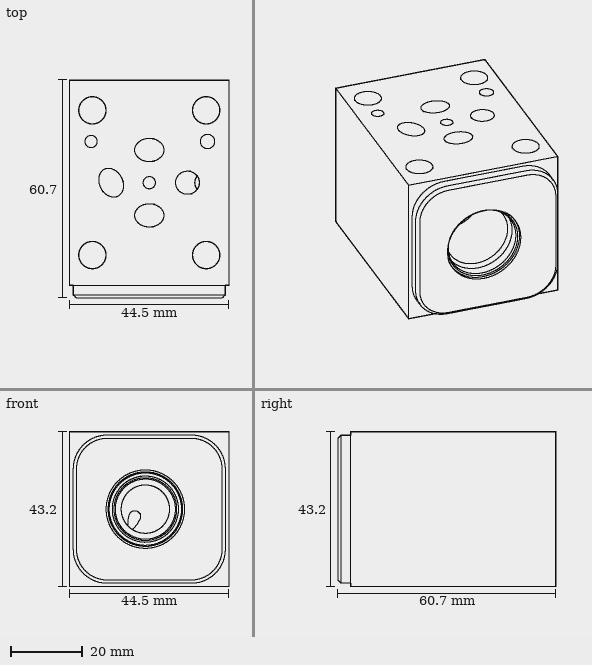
import cadquery as cq
import math


BLOCK_X = 44.45
BLOCK_Z = 43.2
TOTAL_Y = 60.7
PLATE_THICKNESS = 3.6
BLOCK_Y = TOTAL_Y - PLATE_THICKNESS
PLATE_X = 42.4
PLATE_Z = 41.3
PLATE_CORNER_RADIUS = 9.5
PLATE_CHAMFER = 0.9

TOP = BLOCK_Z / 2
FRONT = -BLOCK_Y / 2
PLATE_FRONT = FRONT - PLATE_THICKNESS

CAVITY_X = -1.1
SPOTFACE_RADIUS = 10.95
SPOTFACE_DEPTH = 1.0
LEAD_IN_RADIUS = 10.4
LEAD_IN_LENGTH = 0.65
THREAD_RADIUS = 10.1
THREAD_LENGTH = 3.0
SEAT_CONE_LENGTH = 1.2
SEAT_RADIUS = 9.25
SEAT_END_DEPTH = 26.7
NOSE_RADIUS = 8.75
NOSE_CHAMFER = 0.35
NOSE_END_DEPTH = 27.95
PILOT_RADIUS = 6.75
PILOT_END_DEPTH = 34.85

BOLT_RADIUS = 3.75
BOLT_OFFSET_X = 15.85
BOLT_OFFSET_Y = 20.15
BLIND_DEPTH = 7.3
PIN_OFFSET_X = 16.2
PIN_OFFSET_Y = 11.5
LEFT_PIN_RADIUS = 1.7
RIGHT_PIN_RADIUS = 2.0
CENTER_HOLE_RADIUS = 1.7

PASSAGE_RADIUS = 3.2
SIDE_PASSAGE_OFFSET_X = 10.6
END_PASSAGE_OFFSET_Y = 9.1
END_PASSAGE_TILT = 38.0
SIDE_PASSAGE_TILT = 14.1
UPPER_CAVITY_TILT = 40.0
LOWER_CAVITY_TILT = 25
UPPER_CAVITY_HEADING = -63.0
LOWER_CAVITY_HEADING = 51
UPPER_CAVITY_LENGTH = 26.1
LOWER_CAVITY_LENGTH = 20.65

DRILL_POINT_ANGLE = 118.0


def drill_tip(radius):
    """Height of the cone left by a drill of the given radius."""
    return radius / math.tan(math.radians(DRILL_POINT_ANGLE / 2))


def block_with_plate():
    block = cq.Workplane("XY").box(BLOCK_X, BLOCK_Y, BLOCK_Z)
    plate = (
        cq.Workplane("XZ", origin=(0, FRONT, 0))
        .rect(PLATE_X, PLATE_Z)
        .extrude(PLATE_THICKNESS)
        .edges("|Y")
        .fillet(PLATE_CORNER_RADIUS)
        .faces("<Y")
        .chamfer(PLATE_CHAMFER)
    )
    return block.union(plate)


def cavity():
    """Cavity turned about an axis along Y; profile points are (radius, depth)."""
    lead_in_end = SPOTFACE_DEPTH + LEAD_IN_LENGTH
    thread_end = lead_in_end + THREAD_LENGTH
    profile = [
        (0, 0),
        (SPOTFACE_RADIUS, 0),
        (SPOTFACE_RADIUS, SPOTFACE_DEPTH),
        (LEAD_IN_RADIUS, SPOTFACE_DEPTH),
        (THREAD_RADIUS, lead_in_end),
        (THREAD_RADIUS, thread_end),
        (SEAT_RADIUS, thread_end + SEAT_CONE_LENGTH),
        (SEAT_RADIUS, SEAT_END_DEPTH),
        (NOSE_RADIUS, SEAT_END_DEPTH + NOSE_CHAMFER),
        (NOSE_RADIUS, NOSE_END_DEPTH - NOSE_CHAMFER),
        (NOSE_RADIUS - NOSE_CHAMFER, NOSE_END_DEPTH),
        (PILOT_RADIUS, NOSE_END_DEPTH),
        (PILOT_RADIUS, PILOT_END_DEPTH),
        (0, PILOT_END_DEPTH + drill_tip(PILOT_RADIUS)),
    ]
    return (
        cq.Workplane("XY", origin=(CAVITY_X, PLATE_FRONT, 0))
        .polyline(profile)
        .close()
        .revolve(360, (0, 0), (0, 1))
    )


def bolt_holes():
    return (
        cq.Workplane("XY", origin=(0, 0, -TOP))
        .rect(2 * BOLT_OFFSET_X, 2 * BOLT_OFFSET_Y, forConstruction=True)
        .vertices()
        .circle(BOLT_RADIUS)
        .extrude(BLOCK_Z)
    )


def blind_hole(x, y, radius):
    """Vertical drilled hole in the top face with a conical bottom."""
    profile = [
        (0, 0),
        (radius, 0),
        (radius, -BLIND_DEPTH),
        (0, -BLIND_DEPTH - drill_tip(radius)),
    ]
    return (
        cq.Workplane("XZ", origin=(x, y, TOP))
        .polyline(profile)
        .close()
        .revolve(360, (0, 0), (0, 1))
    )


def angled_passage(x, y, tilt, heading, length):
    """Ball-ended drilling centred at (x, y) on the top face, leaning by tilt degrees from
    vertical as it descends towards the heading angle, measured from +X."""
    lean = math.sin(math.radians(tilt))
    direction = cq.Vector(
        lean * math.cos(math.radians(heading)),
        lean * math.sin(math.radians(heading)),
        -math.cos(math.radians(tilt)),
    )
    run_out = 2 * PASSAGE_RADIUS
    start = cq.Vector(x, y, TOP) - direction * run_out
    barrel = cq.Solid.makeCylinder(PASSAGE_RADIUS, length + run_out, start, direction)
    ball_end = cq.Workplane("XY").sphere(PASSAGE_RADIUS).translate(start + direction * (length + run_out))
    return cq.Workplane(obj=barrel).union(ball_end)


def elbow_passage(x, y, tilt):
    """Two mirrored drillings from top and bottom that lean towards +X and meet at mid-height."""
    upper = angled_passage(x, y, tilt, 0, TOP / math.cos(math.radians(tilt)))
    return upper.union(upper.mirror("XY"))


def cavity_passage(tilt, heading, length):
    """Drilling from the top face towards the cavity, on its -X side."""
    return angled_passage(
        -SIDE_PASSAGE_OFFSET_X, 0, tilt, heading, length
    )


result = block_with_plate().cut(cavity()).cut(bolt_holes())

for x, y, radius in (
    (-PIN_OFFSET_X, PIN_OFFSET_Y, LEFT_PIN_RADIUS),
    (PIN_OFFSET_X, PIN_OFFSET_Y, RIGHT_PIN_RADIUS),
    (0, 0, CENTER_HOLE_RADIUS),
):
    result = result.cut(blind_hole(x, y, radius))

for x, y, tilt in (
    (0, -END_PASSAGE_OFFSET_Y, END_PASSAGE_TILT),
    (0, END_PASSAGE_OFFSET_Y, END_PASSAGE_TILT),
    (SIDE_PASSAGE_OFFSET_X, 0, SIDE_PASSAGE_TILT),
):
    result = result.cut(elbow_passage(x, y, tilt))

upper_passage = cavity_passage(UPPER_CAVITY_TILT, UPPER_CAVITY_HEADING, UPPER_CAVITY_LENGTH)
lower_passage = cavity_passage(LOWER_CAVITY_TILT, LOWER_CAVITY_HEADING, LOWER_CAVITY_LENGTH).mirror("XY")
result = result.cut(upper_passage).cut(lower_passage)